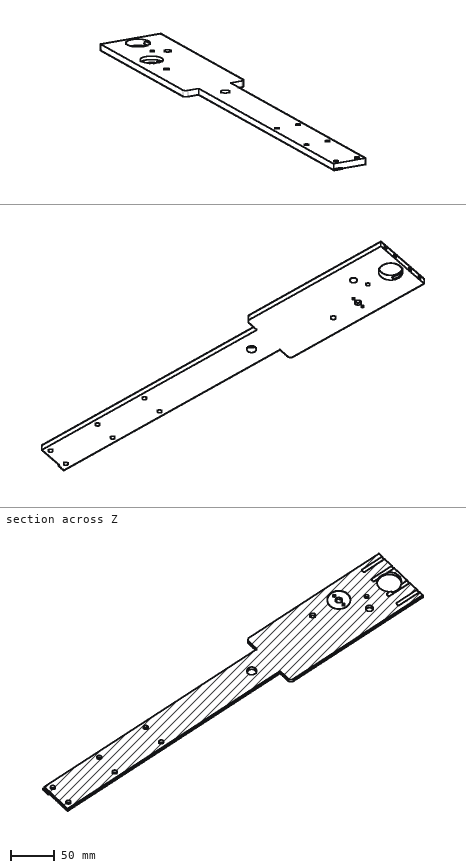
import cadquery as cq

total_length = 520.0
thickness = 8.0
body_length = 199.0
body_width = 80.0
arm_width = 42.5
corner_radius = 4.0

lip_projection = 1.5
lip_width = 10.5
lip_height = 1.5
arm_end = total_length - lip_projection

large_hole = (17.5, 0, 28.0)
upper_hole = (60.5, 15.5, 8.5)
pin_hole = (51.5, 0, 4.5)
offset_hole = (117.5, -18.0, 6.0)
arm_hole = (224.0, 0, 11.0)

recess_x = 79.5
recess_y = -16.5
recess_diameter = 26.5
recess_depth = 4.0
recess_center_diameter = 8.0
recess_screw_diameter = 3.0
recess_screw_offset = 8.5

mount_last_x = 511.0
mount_pitch = 69.5
mount_columns = 3
mount_offset_y = 14.0
mount_diameter = 5.0

end_hole_offsets = (14.0, 31.5)
end_hole_diameter = 4.0
end_hole_depth = 31.0


def block(x_start, length, y_start, width, height):
    """Box resting on Z = 0, positioned by its lowest X and Y."""
    return cq.Workplane("XY").box(length, width, height, centered=False).translate((x_start, y_start, 0))


def upright_cutter(x, y, diameter, floor=0.0):
    """Cylinder reaching from the floor height to the top face."""
    base = cq.Workplane("XY", origin=(x, y, floor))
    return base.circle(diameter / 2).extrude(thickness - floor)


body = block(0, body_length, -body_width / 2, body_width, thickness)
body = body.edges("|Z and >X").fillet(corner_radius)
arm = block(body_length / 2, arm_end - body_length / 2, -arm_width / 2, arm_width, thickness)
lip = block(arm_end, lip_projection, -arm_width / 2, lip_width, lip_height)
plate = body.union(arm).union(lip)

for x, y, diameter in (large_hole, upper_hole, pin_hole, offset_hole, arm_hole):
    plate = plate.cut(upright_cutter(x, y, diameter))

recess_floor = thickness - recess_depth
plate = plate.cut(upright_cutter(recess_x, recess_y, recess_diameter, recess_floor))
plate = plate.cut(upright_cutter(recess_x, recess_y, recess_center_diameter))
for side in (-1, 1):
    screw_y = recess_y + side * recess_screw_offset
    plate = plate.cut(upright_cutter(recess_x, screw_y, recess_screw_diameter))

for column in range(mount_columns):
    for side in (-1, 1):
        mount_x = mount_last_x - column * mount_pitch
        plate = plate.cut(upright_cutter(mount_x, side * mount_offset_y, mount_diameter))

for offset in end_hole_offsets:
    for side in (-1, 1):
        mouth = cq.Workplane("YZ", origin=(0, side * offset, thickness / 2))
        plate = plate.cut(mouth.circle(end_hole_diameter / 2).extrude(end_hole_depth))

result = plate